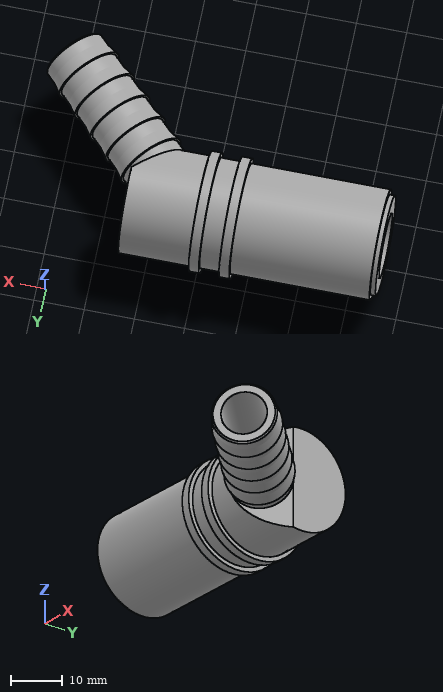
import cadquery as cq
import math

OVERALL_LENGTH = 72.05

BARREL_RADIUS = 11.0
BARREL_LENGTH = 51.0
SPIGOT_RADIUS = 10.0
SPIGOT_LENGTH = 1.0

MOUTH_BORE_RADIUS = 6.5
BORE_RADIUS = 4.55
MOUTH_BORE_DEPTH = 30.0

BEND_X = 40.0
BEND_ANGLE = math.radians(45)
BEND_COS = math.cos(BEND_ANGLE)
BEND_SIN = math.sin(BEND_ANGLE)
TAIL_DIRECTION = cq.Vector(BEND_COS, -BEND_SIN, 0)

SLANT_DROP = 2.0
SLANT_DISTANCE = (BARREL_LENGTH - BEND_X) * BEND_COS + SLANT_DROP * BEND_SIN

TAIL_RADIUS = 6.5
TAIL_END_CHAMFER = 0.35
TAIL_RIM_RADIUS = TAIL_RADIUS - TAIL_END_CHAMFER
TAIL_END_DISTANCE = (OVERALL_LENGTH - BEND_X - TAIL_RIM_RADIUS * BEND_SIN) / BEND_COS
TAIL_LENGTH = TAIL_END_DISTANCE - SLANT_DISTANCE
BARB_COUNT = 5
BARB_RADIUS = 7.0
BARB_LENGTH = TAIL_LENGTH / (2 * BARB_COUNT + 1)

RING_RADIUS = 24.0 / 2
RING_WIDTH = 2.0
RING_STARTS = [28.75, 34.8]


def along_x(start, length, radius):
    """Cylinder on the barrel axis."""
    return cq.Workplane("YZ", origin=(start, 0, 0)).circle(radius).extrude(length)


def tail_point(distance):
    """Point on the tail axis, at a distance from the bend."""
    return (BEND_X + distance * BEND_COS, -distance * BEND_SIN, 0)


def tail_plane(distance):
    """Workplane square to the tail axis, at a distance from the bend."""
    return cq.Workplane(cq.Plane(origin=tail_point(distance), xDir=(0, 0, 1), normal=TAIL_DIRECTION))


def make_barrel():
    """Barrel with its stepped mouth and the slanted face that carries the tail."""
    spigot = along_x(0, SPIGOT_LENGTH, SPIGOT_RADIUS)
    barrel = along_x(SPIGOT_LENGTH, BARREL_LENGTH - SPIGOT_LENGTH, BARREL_RADIUS)
    cutter_side = 2 * BARREL_LENGTH
    beyond_slant = tail_plane(SLANT_DISTANCE).rect(cutter_side, cutter_side).extrude(cutter_side)
    return spigot.union(barrel).cut(beyond_slant)


def make_barb(index):
    """Cone that is widest on its barrel side and narrows to the tail radius."""
    start = SLANT_DISTANCE + (2 * index + 1) * BARB_LENGTH
    wide_end = tail_plane(start).circle(BARB_RADIUS)
    return wide_end.workplane(offset=BARB_LENGTH).circle(TAIL_RADIUS).loft()


def make_tail():
    """Straight hose tail with a chamfered end and evenly spaced barbs."""
    tail = tail_plane(SLANT_DISTANCE).circle(TAIL_RADIUS).extrude(TAIL_LENGTH)
    tail = tail.faces(cq.selectors.DirectionMinMaxSelector(TAIL_DIRECTION)).chamfer(TAIL_END_CHAMFER)
    for index in range(BARB_COUNT):
        tail = tail.union(make_barb(index))
    return tail


def make_bent_bore():
    """Bore of one diameter from the mouth to the tail end, mitred at the bend."""
    path = cq.Workplane("XY").polyline([(0, 0, 0), (BEND_X, 0, 0), tail_point(TAIL_END_DISTANCE)])
    return cq.Workplane("YZ").circle(BORE_RADIUS).sweep(path, transition="right")


def make_housing():
    """Barrel and tail in one piece, with a through bore widened at the mouth."""
    mouth_bore = along_x(0, MOUTH_BORE_DEPTH, MOUTH_BORE_RADIUS)
    return make_barrel().union(make_tail()).cut(make_bent_bore()).cut(mouth_bore)


def make_ring(start):
    """Flat sealing ring around the barrel."""
    return along_x(start, RING_WIDTH, RING_RADIUS).cut(along_x(start, RING_WIDTH, BARREL_RADIUS))


housing = make_housing()
rings = [make_ring(start) for start in RING_STARTS]

result = cq.Compound.makeCompound([housing.val(), *[ring.val() for ring in rings]])